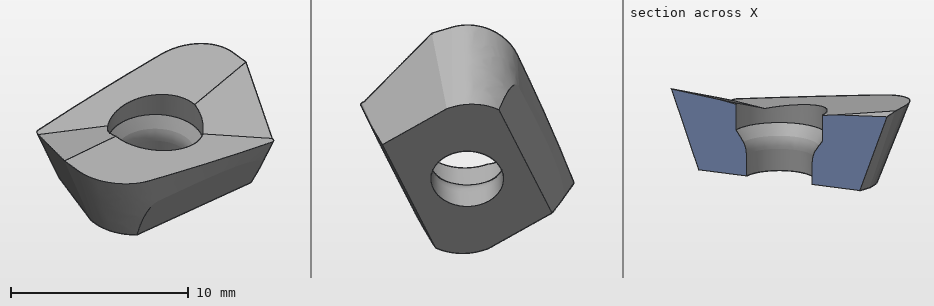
import cadquery as cq
import math

height = 4.76
half_length = 7.0
relief_angle = 20.0
relief_rate = math.tan(math.radians(relief_angle))

block_size = 56.0
match_tolerance = 0.0001

end_corner_x_bottom = 4.28
end_corner_x_top = 4.55
nose_x_bottom = 3.63
nose_x_top = 5.08
side_bulge_bottom = 0.1
side_bulge_top = 0.01
end_corner_radius_bottom = 2.97
end_corner_radius_top = 2.87
nose_radius_bottom = 0.01
nose_radius_top = 0.34
slant = math.radians(15.0)
slant_start_x_bottom = 0.83

flat_half_width_bottom = 3.53

valley_height = 3.75
valley_half_width = 0.66
facet_nose_x = 4.24
facet_nose_y = 5.04
main_slope = (height - valley_height) / half_length

bore_radius = 2.05
recess_radius = 2.7
recess_floor = 2.63
seat_inner_radius = 2.23
seat_bottom = 1.97
blend_bottom = 1.26


def half_space(origin, normal):
    """Big block lying on the inner side of a plane whose normal points outward."""
    face = cq.Plane(origin=origin, normal=normal)
    return cq.Workplane(face).rect(block_size, block_size).extrude(-block_size)


def half_turn(body):
    """The body turned 180 degrees about Z."""
    return body.rotate((0, 0, 0), (0, 0, 1), 180)


def end_wall_y(z):
    """Y of the short straight end wall at the +Y end."""
    return half_length - (height - z) * relief_rate


def slant_y(x, z):
    """Y of the slanted end wall at the +Y end."""
    wall_shift = z * relief_rate / math.cos(slant)
    return end_wall_y(0) + wall_shift - (x + slant_start_x_bottom) * math.tan(slant)


def slant_start_x(z):
    """X where the slanted end wall meets the short straight end wall at the +Y end."""
    overshoot = slant_y(-slant_start_x_bottom, z) - end_wall_y(z)
    return overshoot / math.tan(slant) - slant_start_x_bottom


def outline(z, end_corner_x, nose_x, side_bulge, end_corner_radius, nose_radius):
    """Closed outline of the body at height z, with rounded end corners and noses."""
    half = [
        (-end_corner_x, end_wall_y(z)),
        (slant_start_x(z), end_wall_y(z)),
        (nose_x, slant_y(nose_x, z)),
    ]
    edges = []
    end_corners = []
    noses = []
    for turn in (1, -1):
        end_corner, slant_start, nose = (cq.Vector(turn * x, turn * y, z) for x, y in half)
        next_end_corner = cq.Vector(-end_corner.x, -end_corner.y, z)
        side_middle = (nose + next_end_corner) * 0.5 + cq.Vector(turn * side_bulge, 0, 0)
        edges.append(cq.Edge.makeLine(end_corner, slant_start))
        edges.append(cq.Edge.makeLine(slant_start, nose))
        edges.append(cq.Edge.makeThreePointArc(nose, side_middle, next_end_corner))
        end_corners.append(end_corner)
        noses.append(nose)
    wire = cq.Wire.assembleEdges(edges)

    def vertices_at(points):
        """Vertices of the outline lying on the given points."""
        return [v for v in wire.Vertices() if any((v.Center() - p).Length < match_tolerance for p in points)]

    wire = wire.fillet2D(end_corner_radius, vertices_at(end_corners))
    return wire.fillet2D(nose_radius, vertices_at(noses))


body = cq.Workplane(cq.Solid.makeLoft([
    outline(0, end_corner_x_bottom, nose_x_bottom, side_bulge_bottom,
            end_corner_radius_bottom, nose_radius_bottom),
    outline(height, end_corner_x_top, nose_x_top, side_bulge_top,
            end_corner_radius_top, nose_radius_top),
], True))

for side in (-1, 1):
    body = body.intersect(half_space((side * flat_half_width_bottom, 0, 0), (side, 0, -relief_rate)))

valley_point = cq.Vector(valley_half_width, 0, valley_height)
crest_point = cq.Vector(slant_start_x(height), half_length, height)
nose_point = cq.Vector(facet_nose_x, facet_nose_y, valley_height - main_slope * facet_nose_y)
facet_normal = (nose_point - valley_point).cross(crest_point - valley_point)

main_side = half_space((0, 0, valley_height), (0, -main_slope, 1))
facet_side = half_space(valley_point.toTuple(), facet_normal.toTuple())
top_half = main_side.intersect(facet_side)
body = body.intersect(top_half.union(half_turn(top_half)))

hole = (
    cq.Workplane("XZ")
    .moveTo(0, 0)
    .lineTo(bore_radius, 0)
    .lineTo(bore_radius, blend_bottom)
    .tangentArcPoint((seat_inner_radius, seat_bottom), relative=False)
    .lineTo(recess_radius, recess_floor)
    .lineTo(recess_radius, height)
    .lineTo(0, height)
    .close()
    .revolve(360, (0, 0, 0), (0, 1, 0))
)
result = body.cut(hole)